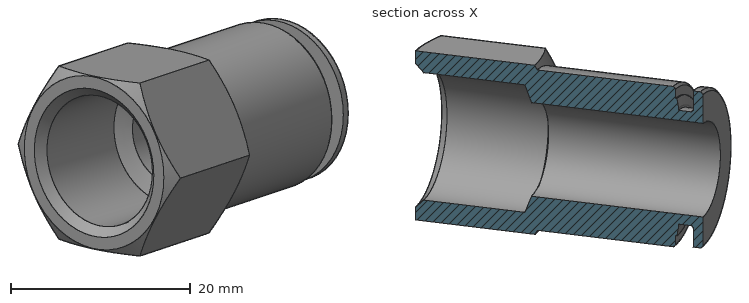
import cadquery as cq
import math

total_length = 34.2

body_diameter = 19.0
body_end = 30.95
body_chamfer = 0.3

hex_sides = 6
hex_across_flats = 20.0
hex_length = 14.5
hex_chamfer_angle = 30.0
hex_front_face_diameter = 19.85
hex_rear_face_diameter = body_diameter
hex_blank_allowance = 1.0


cap_base_diameter = 16.25
cap_top_diameter = 14.0
cap_step_height = 0.15
cap_cone_height = 0.2

neck_diameter = 13.5
ring_diameter = 18.5
ring_thickness = 1.2
ring_chamfer = 0.3
neck_flare_diameter = 13.9
neck_flare_height = 0.2

bore_diameter = 11.0
thread_diameter = 15.0
thread_depth = 13.0
thread_mouth_diameter = 17.0
shoulder_height = 0.8


def cylinder(diameter, start, end):
    """Solid cylinder along Y between two Y positions."""
    workplane = cq.Workplane("XZ", origin=(0, start, 0))
    return workplane.circle(diameter / 2).extrude(start - end)


def cone(start_diameter, end_diameter, start, end):
    """Solid truncated cone along Y between two Y positions."""
    profile = (
        cq.Workplane("XY")
        .moveTo(0, start)
        .lineTo(start_diameter / 2, start)
        .lineTo(end_diameter / 2, end)
        .lineTo(0, end)
        .close()
    )
    return profile.revolve(360, (0, 0, 0), (0, 1, 0))


def make_hex():
    """Hexagonal prism, corners on the X axis, with both ends turned to a cone."""
    corner_diameter = hex_across_flats / math.cos(math.pi / hex_sides)
    prism = cq.Workplane("XZ").polygon(hex_sides, corner_diameter).extrude(-hex_length)

    blank_diameter = corner_diameter + hex_blank_allowance
    slope = math.tan(math.radians(hex_chamfer_angle))
    front_height = (blank_diameter - hex_front_face_diameter) / 2 * slope
    rear_height = (blank_diameter - hex_rear_face_diameter) / 2 * slope
    rear_start = hex_length - rear_height

    blank = cylinder(blank_diameter, front_height, rear_start)
    blank = blank.union(cone(hex_front_face_diameter, blank_diameter, 0, front_height))
    blank = blank.union(cone(blank_diameter, hex_rear_face_diameter, rear_start, hex_length))
    return prism.intersect(blank)


def make_body():
    """Round body with a chamfered end edge and a stepped conical cap."""
    body = cylinder(body_diameter, 0, body_end)
    body = body.faces(">Y").edges().chamfer(body_chamfer)
    cone_start = body_end + cap_step_height
    step = cylinder(cap_base_diameter, body_end, cone_start)
    cap = cone(cap_base_diameter, cap_top_diameter, cone_start, cone_start + cap_cone_height)
    return body.union(step).union(cap)


def make_release_ring():
    """Neck rising from the body, flaring slightly into a chamfered flange."""
    underside = total_length - ring_thickness
    ring = cylinder(ring_diameter, underside, total_length)
    ring = ring.faces(">Y").edges().chamfer(ring_chamfer)
    neck = cylinder(neck_diameter, body_end, underside)
    flare = cone(neck_diameter, neck_flare_diameter, underside - neck_flare_height, underside)
    return ring.union(neck).union(flare)


def make_passage():
    """Through bore opening into the tapping hole with its conical shoulder and countersunk mouth."""
    mouth_depth = (thread_mouth_diameter - thread_diameter) / 2
    passage = cylinder(bore_diameter, 0, total_length)
    passage = passage.union(cylinder(thread_diameter, 0, thread_depth))
    passage = passage.union(cone(thread_diameter, bore_diameter, thread_depth, thread_depth + shoulder_height))
    return passage.union(cone(thread_mouth_diameter, thread_diameter, 0, mouth_depth))


result = make_hex().union(make_body()).union(make_release_ring()).cut(make_passage())